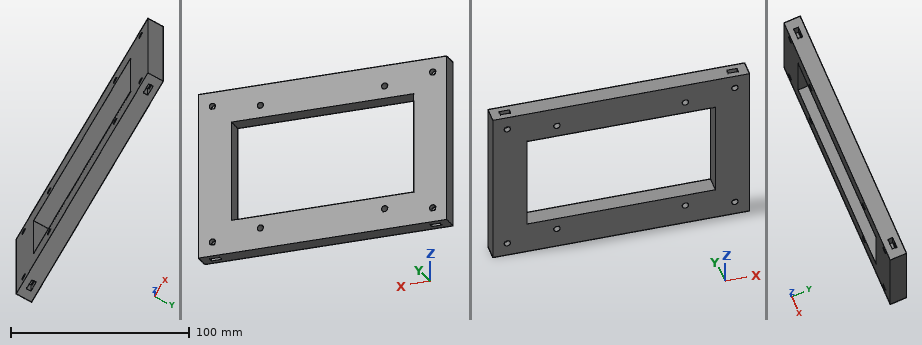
import cadquery as cq

frame_width = 150.0
frame_thickness = 10.0
frame_height = 100.0
window_width = 110.0
window_height = 60.0

hole_diameter = 3.6
corner_spacing_x = 133.0
corner_spacing_z = 83.0
inner_spacing = 75.0

nut_slot_width = 6.0
nut_slot_thickness = 2.8
corner_edge_distance = (frame_height - corner_spacing_z) / 2
nut_slot_depth = corner_edge_distance + nut_slot_width / 2


def make_frame():
    """Plate centred on the origin with a rectangular window through it."""
    plate = cq.Workplane("XY").box(frame_width, frame_thickness, frame_height)
    window = cq.Workplane("XY").box(window_width, frame_thickness, window_height)
    return plate.cut(window)


def make_holes(spacing_x, spacing_z):
    """Four pins along Y on a centred rectangle, as long as the frame is thick."""
    return (
        cq.Workplane("XZ")
        .rect(spacing_x, spacing_z, forConstruction=True)
        .vertices()
        .circle(hole_diameter / 2)
        .extrude(frame_thickness / 2, both=True)
    )


def make_nut_slots():
    """Blocks entering the top and bottom edges in line with the corner holes."""
    slot_spacing_z = frame_height - nut_slot_depth
    return (
        cq.Workplane("XZ")
        .rect(corner_spacing_x, slot_spacing_z, forConstruction=True)
        .vertices()
        .rect(nut_slot_width, nut_slot_depth)
        .extrude(nut_slot_thickness / 2, both=True)
    )


result = (
    make_frame()
    .cut(make_holes(corner_spacing_x, corner_spacing_z))
    .cut(make_holes(inner_spacing, inner_spacing))
    .cut(make_nut_slots())
)